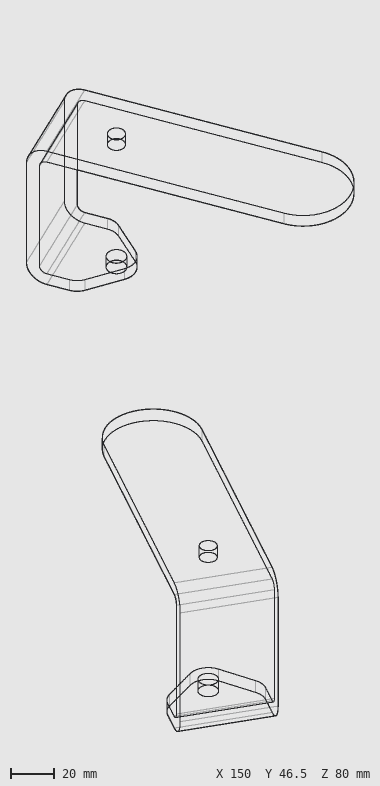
import cadquery as cq

length = 150.0
width = 46.5
height = 80.0
thickness = 6.5

outer_bend_radius = 10.0
inner_bend_radius = outer_bend_radius - thickness

hole_x = 35.0
upper_hole_diameter = 8.3
lower_hole_diameter = 9.5

nose_radius = 9.5
shoulder_radius = 9.5
nose_apex_x = hole_x + nose_radius * 2**0.5
shoulder_x = nose_apex_x - width / 2


def bent_strip():
    """C-shaped strip, with the lower flange reaching its unrounded apex."""
    wall = cq.Workplane("XY").box(thickness, width, height, centered=(False, True, False))
    upper = cq.Workplane("XY", origin=(0, 0, height - thickness)).box(
        length, width, thickness, centered=(False, True, False)
    )
    lower = cq.Workplane("XY").box(nose_apex_x, width, thickness, centered=(False, True, False))
    strip = wall.union(upper).union(lower)
    strip = strip.edges("|Y and <X").fillet(outer_bend_radius)
    inner_corners = cq.selectors.BoxSelector(
        (thickness / 2, -width, thickness / 2),
        (thickness * 1.5, width, height - thickness / 2),
    )
    return strip.edges("|Y").edges(inner_corners).fillet(inner_bend_radius)


def upper_outline():
    """Straight sides ending in a full half-round, as a tall cutter."""
    half_width = width / 2
    return (
        cq.Workplane("XY", origin=(0, 0, height / 2))
        .moveTo(0, -half_width)
        .lineTo(length - half_width, -half_width)
        .threePointArc((length, 0), (length - half_width, half_width))
        .lineTo(0, half_width)
        .close()
        .extrude(height / 2)
    )


def lower_outline():
    """Straight sides tapering through rounded shoulders to a rounded nose."""
    half_width = width / 2
    outline = (
        cq.Workplane("XY")
        .polyline(
            [
                (0, -half_width),
                (shoulder_x, -half_width),
                (nose_apex_x, 0),
                (shoulder_x, half_width),
                (0, half_width),
            ]
        )
        .close()
        .extrude(height / 2)
    )
    outline = outline.edges("|Z and >X").fillet(nose_radius)
    shoulders = cq.selectors.BoxSelector(
        (shoulder_x - 1.5, -width, 0), (shoulder_x + 1.5, width, height)
    )
    return outline.edges("|Z").edges(shoulders).fillet(shoulder_radius)


def hole(diameter, bottom_z):
    """Cutter for a vertical hole through one flange."""
    return cq.Workplane("XY", origin=(hole_x, 0, bottom_z)).circle(diameter / 2).extrude(thickness)


result = bent_strip().intersect(upper_outline().union(lower_outline()))
result = result.cut(hole(upper_hole_diameter, height - thickness))
result = result.cut(hole(lower_hole_diameter, 0))
result = result.clean()